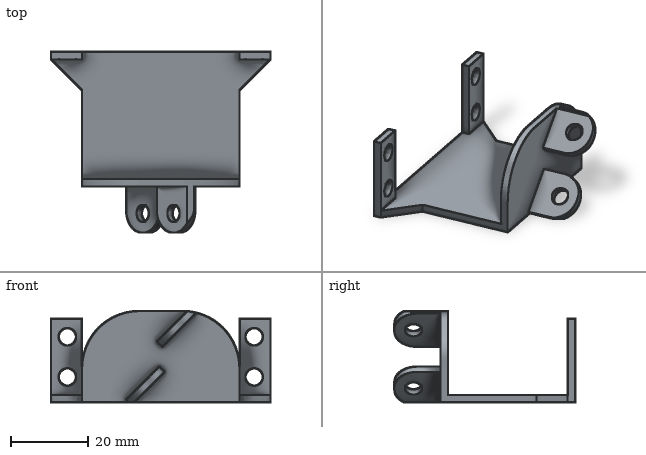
import cadquery as cq

thickness = 2.0
span_x = 57.05
bracket_depth = 35.05
height = 23.8

ear_width = 8.05
ear_height = 21.8
mount_hole_dia = 4.45
mount_hole_x = 24.25
mount_hole_heights = (6.6, 17.05)
body_width = span_x - 2 * ear_width

plate_corner_radius = 14.9

tab_length = 12.0
tab_width = 12.2
tab_corner_radius = 5.9
tab_hole_dia = 4.45
tab_hole_reach = 6.95
tab_tilt = 45.0
tab_x = 4.0
lower_tab_z = 4.35
upper_tab_z = 19.45

front_y = -bracket_depth


def make_floor():
    """Floor with rear wings that flare at 45 degrees out to the ears."""
    half_span = span_x / 2
    half_body = body_width / 2
    flare_end_y = -thickness - ear_width
    return (
        cq.Workplane("XY")
        .moveTo(-half_span, 0)
        .lineTo(half_span, 0)
        .lineTo(half_span, -thickness)
        .lineTo(half_body, flare_end_y)
        .lineTo(half_body, front_y)
        .lineTo(-half_body, front_y)
        .lineTo(-half_body, flare_end_y)
        .lineTo(-half_span, -thickness)
        .close()
        .extrude(thickness)
    )


def make_plate_outline(depth, rear_y):
    """Block with the front plate's round-shouldered outline, reaching forward from rear_y."""
    return (
        cq.Workplane("XY")
        .box(body_width, depth, height, centered=(True, False, False))
        .edges("|Y and >Z")
        .fillet(plate_corner_radius)
        .translate((0, rear_y - depth, 0))
    )


def make_ear(side):
    """Upright mounting ear with two holes; side is -1 or 1."""
    ear_x = side * (span_x - ear_width) / 2
    ear = (
        cq.Workplane("XY")
        .box(ear_width, thickness, ear_height, centered=(True, False, False))
        .translate((ear_x, -thickness, 0))
    )
    holes = (
        cq.Workplane("XZ")
        .pushPoints([(side * mount_hole_x, z) for z in mount_hole_heights])
        .circle(mount_hole_dia / 2)
        .extrude(thickness)
    )
    return ear.cut(holes)


def make_tab(x, z):
    """Round-ended tab with a hole, tilted about Y and centred on (x, z)."""
    return (
        cq.Workplane("XY")
        .box(tab_width, tab_length, thickness)
        .edges("|Z and <Y")
        .fillet(tab_corner_radius)
        .faces(">Z")
        .workplane(origin=(0, tab_length / 2 - tab_hole_reach, 0))
        .hole(tab_hole_dia)
        .rotate((0, 0, 0), (0, 1, 0), -tab_tilt)
        .translate((x, front_y - tab_length / 2, z))
    )


def make_tabs():
    """Both tabs, trimmed flush with the outline of the front plate."""
    tabs = make_tab(-tab_x, lower_tab_z).add(make_tab(tab_x, upper_tab_z)).combine()
    return tabs.intersect(make_plate_outline(tab_length, front_y))


result = make_floor().union(make_plate_outline(thickness, front_y + thickness))
for ear_side in (-1, 1):
    result = result.union(make_ear(ear_side))
result = result.union(make_tabs())